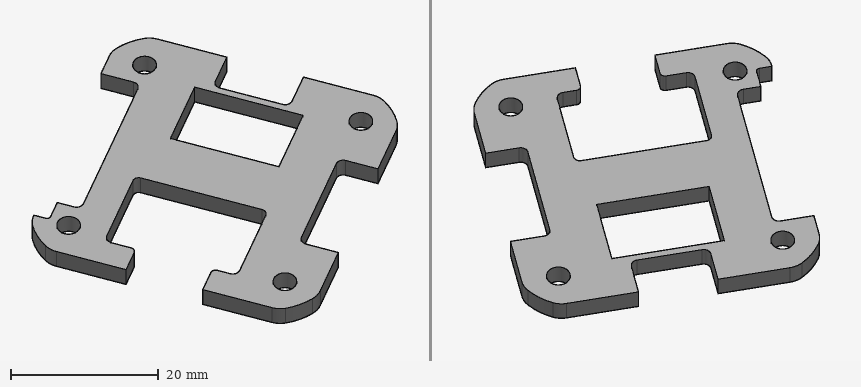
import cadquery as cq
import math

side = 41.2
thickness = 3.0
half = side / 2

corner_start = 5.1
corner_joint_far = 3.38
corner_joint_near = 0.5
corner_middle = 1.77

hole_spacing = 31.05
hole_diameter = 3.2

notch_depth = 5.65
notch_radius = 1.0
end_notch_width = 11.0
left_notch_width = 24.2
right_notch_width = 16.2

step_depth = 2.22
step_bottom = -15.33
step_radius = 0.5

window_width = 15.57
window_top = 13.95
window_bottom = 4.05

pocket_left = -10.0
pocket_right = 9.05
pocket_top = -4.1
pocket_bottom = -16.6
pocket_top_radius = 0.82
lip_radius = 0.7


def block(left, right, bottom, top):
    """Rectangular block through the full plate thickness."""
    return (
        cq.Workplane("XY")
        .box(right - left, top - bottom, thickness, centered=False)
        .translate((left, bottom, 0))
    )


def corner_trim():
    """Material outside the rounded outline at the -X, -Y corner."""
    joint_a = (corner_joint_far, corner_joint_near)
    joint_b = (corner_joint_near, corner_joint_far)
    reach = corner_start - corner_joint_far
    blend_radius = (reach**2 + corner_joint_near**2) / (2 * corner_joint_near)
    half_sweep = math.asin(reach / blend_radius) / 2
    blend_middle = (
        corner_start - blend_radius * math.sin(half_sweep),
        blend_radius * (1 - math.cos(half_sweep)),
    )
    return (
        cq.Workplane("XY")
        .moveTo(corner_start, 0)
        .threePointArc(blend_middle, joint_a)
        .threePointArc((corner_middle, corner_middle), joint_b)
        .threePointArc(blend_middle[::-1], (0, corner_start))
        .lineTo(0, 0)
        .close()
        .extrude(thickness)
        .translate((-half, -half, 0))
    )


def make_plate():
    """Square plate with the same rounding on all four corners."""
    plate = block(-half, half, -half, half)
    for quarter in range(4):
        plate = plate.cut(corner_trim().rotate((0, 0, 0), (0, 0, 1), 90 * quarter))
    return plate


def top_notch():
    inner = half - notch_depth
    notch = block(-end_notch_width / 2, end_notch_width / 2, inner, half)
    return notch.edges("|Z and <Y").fillet(notch_radius)


def left_notch():
    notch = block(-half, notch_depth - half, -left_notch_width / 2, left_notch_width / 2)
    notch = notch.edges("|Z and >X").fillet(notch_radius)
    step = block(-half, step_depth - half, step_bottom, 0)
    step = step.edges("|Z and >X and <Y").fillet(step_radius)
    return notch.union(step)


def right_notch():
    notch = block(half - notch_depth, half, -right_notch_width / 2, right_notch_width / 2)
    return notch.edges("|Z and <X").fillet(notch_radius)


def bottom_pocket():
    """Wide pocket with a narrower mouth and rounded lips."""
    pocket = block(pocket_left, pocket_right, pocket_bottom, pocket_top)
    pocket = pocket.edges("|Z and >Y").fillet(pocket_top_radius)
    pocket = pocket.edges("|Z and <Y").fillet(notch_radius)
    mouth = block(-end_notch_width / 2, end_notch_width / 2, -half, pocket_bottom)
    lips = cq.selectors.BoxSelector(
        (-end_notch_width / 2 - lip_radius, pocket_bottom - lip_radius, 0),
        (end_notch_width / 2 + lip_radius, pocket_bottom + lip_radius, thickness),
    )
    return pocket.union(mouth).edges("|Z").edges(lips).fillet(lip_radius)


def mounting_holes():
    return (
        cq.Workplane("XY")
        .rect(hole_spacing, hole_spacing, forConstruction=True)
        .vertices()
        .circle(hole_diameter / 2)
        .extrude(thickness)
    )


window = block(-window_width / 2, window_width / 2, window_bottom, window_top)

result = make_plate()
for cutter in (top_notch(), left_notch(), right_notch(), bottom_pocket(), window, mounting_holes()):
    result = result.cut(cutter)